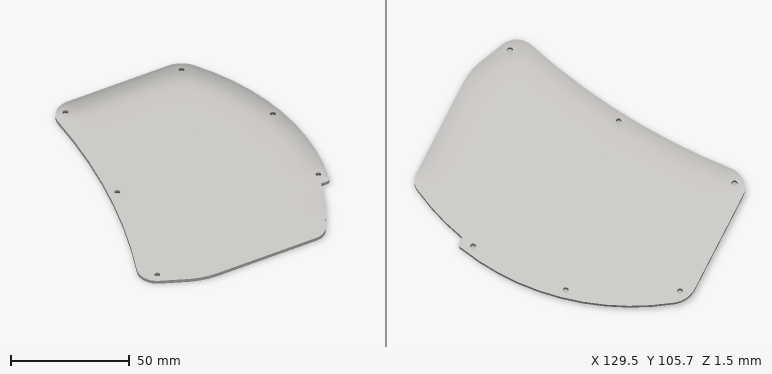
import cadquery as cq
import math

length = 129.5
width = 105.7
thickness = 1.5
right_x = length / 2
left_x = -right_x
top_y = width / 2
bottom_y = -top_y

crown_peak_x = 0.5
crown_radius = 106.7
crown_left_x = -59.6
crown_right_x = 32.6

step_x = 34.5
step_top_y = 45.6
step_bottom_y = 43.1

shoulder_middle = (47.7, 37.8)
shoulder_end = (61.1, 30.3)

side_top_left_y = 24.9
side_top_right_y = 24.0
side_bottom_y = -24.0

flank_bend = (64.0, -30.8)
flank_start = (62.6, -35.5)
toe_radius = 8.8
toe_center_x = 49.2
toe_center_y = bottom_y + toe_radius
toe_start_angle = -24.0
toe_end_angle = -108.0

lower_edge_middle = (-2.6, -38.6)
lower_edge_end = (-55.7, -33.8)
lower_left_bend = (-62.0, -30.7)

upper_right_bend = (63.7, 27.7)
upper_left_bend = (-63.3, 30.2)
step_bend = (34.0, 47.4)

hole_diameter = 2.5
hole_centers = [
    (-59.6, 28.2),
    (-15.5, 47.8),
    (28.6, 45.1),
    (-59.1, -28.1),
    (-2.5, -34.6),
    (53.2, -46.4),
]


def crown_point(x):
    """Point on the crown arc at the given x."""
    center_y = top_y - crown_radius
    return (x, center_y + math.sqrt(crown_radius**2 - (x - crown_peak_x) ** 2))


def toe_point(angle):
    """Point on the rounded toe at the given angle in degrees."""
    turn = math.radians(angle)
    return (
        toe_center_x + toe_radius * math.cos(turn),
        toe_center_y + toe_radius * math.sin(turn),
    )


outline = (
    cq.Workplane("XY")
    .workplane(offset=-thickness / 2)
    .moveTo(*crown_point(crown_left_x))
    .threePointArc((crown_peak_x, top_y), crown_point(crown_right_x))
    .threePointArc(step_bend, (step_x, step_top_y))
    .lineTo(step_x, step_bottom_y)
    .threePointArc(shoulder_middle, shoulder_end)
    .threePointArc(upper_right_bend, (right_x, side_top_right_y))
    .lineTo(right_x, side_bottom_y)
    .threePointArc(flank_bend, flank_start)
    .lineTo(*toe_point(toe_start_angle))
    .threePointArc(toe_point((toe_start_angle + toe_end_angle) / 2), toe_point(toe_end_angle))
    .threePointArc(lower_edge_middle, lower_edge_end)
    .threePointArc(lower_left_bend, (left_x, side_bottom_y))
    .lineTo(left_x, side_top_left_y)
    .threePointArc(upper_left_bend, crown_point(crown_left_x))
    .close()
)
plate = outline.extrude(thickness)

holes = (
    cq.Workplane("XY")
    .workplane(offset=-thickness / 2)
    .pushPoints(hole_centers)
    .circle(hole_diameter / 2)
    .extrude(thickness)
)

result = plate.cut(holes)